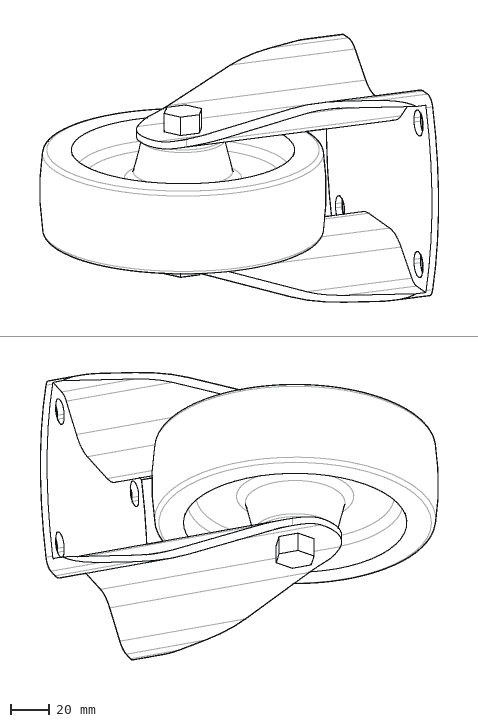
import cadquery as cq
import math


wheel_radius = 74.8
wheel_width = 45.2
tread_crown = 1.7
tread_edge_fillet = 2.3
recess_depth = 15.4
recess_rim_radius = 58.3
recess_fillet = 4.5
recess_draft = math.radians(10)

hub_length = 58.0
hub_end_radius = 21.5
hub_draft = math.radians(14)
hub_end_fillet = 1.3
hub_root_fillet = 4.7
spacer_diameter = 20.0
hex_across_flats = 18.5
axle_length = 87.7

sheet = 3.8
bracket_height = 110.0
plate_back_y = 115.0
plate_half_width = 70.2
plate_end_half_width = 60.7
plate_corner_radius = 7.2
waist_half_height = 33.8
waist_flat_half_width = 13.9
waist_bend_radius = 19.0
crest_flat_start = 49.7
crest_bend_radius = 13.3

fork_end_radius = 24.3
fork_half_width = 62.0
taper_start_y = 106.3

slot_width = 11.4
slot_height = 13.7
slot_x = 52.2
slot_z = 38.7

half_height = bracket_height / 2
fork_length = plate_back_y + fork_end_radius


def fillet_rings(body, radius, height, size):
    """Round the two circular edges of the given radius that lie at +height and -height."""
    tolerance = 0.02
    rings = [
        edge
        for edge in body.edges("%CIRCLE").vals()
        if abs(edge.radius() - radius) < tolerance and abs(abs(edge.Center().z) - height) < tolerance
    ]
    return body.newObject(rings).fillet(size)


def make_wheel():
    """Crowned tyre, recessed web and drafted hub as one turned body."""
    half_width = wheel_width / 2
    half_hub = hub_length / 2
    floor_z = half_width - recess_depth
    edge_radius = wheel_radius - tread_crown
    wall_foot_radius = recess_rim_radius - recess_depth * math.tan(recess_draft)
    hub_foot_radius = hub_end_radius + (half_hub - floor_z) * math.tan(hub_draft)

    body = (
        cq.Workplane("XZ")
        .moveTo(0, -half_hub)
        .lineTo(hub_end_radius, -half_hub)
        .lineTo(hub_foot_radius, -floor_z)
        .lineTo(wall_foot_radius, -floor_z)
        .lineTo(recess_rim_radius, -half_width)
        .lineTo(edge_radius, -half_width)
        .threePointArc((wheel_radius, 0), (edge_radius, half_width))
        .lineTo(recess_rim_radius, half_width)
        .lineTo(wall_foot_radius, floor_z)
        .lineTo(hub_foot_radius, floor_z)
        .lineTo(hub_end_radius, half_hub)
        .lineTo(0, half_hub)
        .close()
        .revolve(360, (0, 0, 0), (0, 1, 0))
    )

    body = fillet_rings(body, edge_radius, half_width, tread_edge_fillet)
    body = fillet_rings(body, wall_foot_radius, floor_z, recess_fillet)
    body = fillet_rings(body, hub_foot_radius, floor_z, hub_root_fillet)
    return fillet_rings(body, hub_end_radius, half_hub, hub_end_fillet)


def waved_band(depth):
    """Block bounded above and below by the bent sheet surface lying `depth` inside the outer one."""
    valley_center = (waist_flat_half_width, waist_half_height + waist_bend_radius)
    crest_center = (crest_flat_start, half_height - crest_bend_radius)
    valley_radius = waist_bend_radius + depth
    crest_radius = crest_bend_radius - depth

    run = crest_center[0] - valley_center[0]
    rise = crest_center[1] - valley_center[1]
    radius_sum = waist_bend_radius + crest_bend_radius
    slope = math.asin(radius_sum / math.hypot(run, rise)) + math.atan2(rise, run)

    def valley(angle):
        return (
            valley_center[0] + valley_radius * math.sin(angle),
            valley_center[1] - valley_radius * math.cos(angle),
        )

    def crest(angle):
        return (
            crest_center[0] - crest_radius * math.sin(angle),
            crest_center[1] + crest_radius * math.cos(angle),
        )

    quarter = (
        cq.Workplane("XZ", origin=(0, plate_back_y, 0))
        .lineTo(0, waist_half_height - depth)
        .lineTo(*valley(0))
        .threePointArc(valley(slope / 2), valley(slope))
        .lineTo(*crest(slope))
        .threePointArc(crest(slope / 2), crest(0))
        .lineTo(plate_half_width, half_height - depth)
        .lineTo(plate_half_width, 0)
        .close()
        .extrude(fork_length)
    )
    half = quarter.union(quarter.mirror("XY"))
    return half.union(half.mirror("YZ"))


def make_bracket():
    """Mounting plate and the two bent fork sides."""
    plate_blank = (
        cq.Workplane("XZ", origin=(0, plate_back_y, 0))
        .moveTo(-plate_end_half_width, -half_height)
        .lineTo(plate_end_half_width, -half_height)
        .threePointArc((plate_half_width, 0), (plate_end_half_width, half_height))
        .lineTo(-plate_end_half_width, half_height)
        .threePointArc((-plate_half_width, 0), (-plate_end_half_width, -half_height))
        .close()
        .extrude(fork_length)
        .edges("|Y")
        .fillet(plate_corner_radius)
    )
    bracket_block = waved_band(0).intersect(plate_blank)

    plate = bracket_block.intersect(
        cq.Workplane("XY")
        .box(2 * plate_half_width, sheet, bracket_height)
        .translate((0, plate_back_y - sheet / 2, 0))
    )
    slots = (
        cq.Workplane("XZ", origin=(0, plate_back_y, 0))
        .rect(2 * slot_x, 2 * slot_z, forConstruction=True)
        .vertices()
        .slot2D(slot_height, slot_width, 90)
        .extrude(sheet)
    )

    corner_distance = math.hypot(fork_half_width, taper_start_y)
    corner_angle = math.atan2(taper_start_y, fork_half_width)
    tangent_angle = corner_angle - math.acos(fork_end_radius / corner_distance)
    tangent_x = fork_end_radius * math.cos(tangent_angle)
    tangent_y = fork_end_radius * math.sin(tangent_angle)
    fork_outline = (
        cq.Workplane("XY", origin=(0, 0, -half_height))
        .moveTo(-fork_half_width, plate_back_y)
        .lineTo(-fork_half_width, taper_start_y)
        .lineTo(-tangent_x, tangent_y)
        .threePointArc((0, -fork_end_radius), (tangent_x, tangent_y))
        .lineTo(fork_half_width, taper_start_y)
        .lineTo(fork_half_width, plate_back_y)
        .close()
        .extrude(bracket_height)
    )
    fork = bracket_block.cut(waved_band(sheet)).intersect(fork_outline)
    return plate.union(fork).cut(slots)


def make_axle():
    """Spacer spanning the gap between the fork sides with a hexagon head at each end."""
    hex_across_corners = hex_across_flats / math.cos(math.radians(30))
    fork_gap = 2 * (waist_half_height - sheet)
    spacer = cq.Workplane("XY").circle(spacer_diameter / 2).extrude(fork_gap / 2, both=True)
    head_height = axle_length / 2 - waist_half_height
    head = (
        cq.Workplane("XY", origin=(0, 0, waist_half_height))
        .transformed(rotate=(0, 0, 90))
        .polygon(6, hex_across_corners)
        .extrude(head_height)
    )
    return spacer.union(head).union(head.mirror("XY"))


result = make_bracket().union(make_wheel()).union(make_axle())